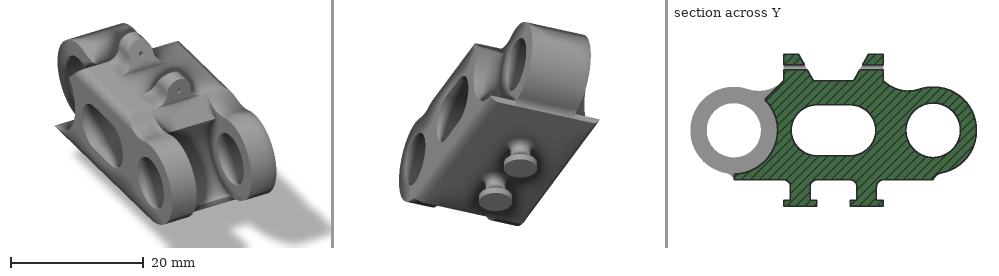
import cadquery as cq
import math

LENGTH = 43.15
WIDTH = 18.0
HEIGHT = 14.95
EYE_RADIUS = 6.55
BORE_DIAMETER = 8.15
TONGUE_WIDTH = 9.5
TOP_LENGTH = 15.0
SHOULDER_RADIUS = 5.3
LIP_RADIUS = 1.5
EDGE_RADIUS = 1.45
WINDOW_LENGTH = 12.7
WINDOW_HEIGHT = 7.6

LUG_HEIGHT = 4.0
LUG_HOLE_DIAMETER = 0.75
LUG_TOP_LENGTH = 2.25
LUG_BASE_LENGTH = 4.5

PIN_SPACING = 10.0
PIN_DIAMETER = 3.0
PIN_HEAD_DIAMETER = 5.0
PIN_HEAD_THICKNESS = 1.0
PIN_LENGTH = 4.0
PIN_FILLET = 1.0

PIVOT_X = LENGTH / 2 - EYE_RADIUS
HALF_HEIGHT = HEIGHT / 2
HALF_TOP = TOP_LENGTH / 2
LUG_RADIUS = LUG_HEIGHT / 2
PIVOTS = [(-PIVOT_X, 0), (PIVOT_X, 0)]


def extrude_along_y(sketch, width):
    """Extrude an XZ sketch symmetrically about Y = 0."""
    return sketch.extrude(width / 2, both=True)


def blend_arc(corner, radius, side):
    """Middle and end of the concave arc from a corner to tangency with the right-hand eye.

    side (+1 or -1) selects which of the two possible arc centres is used.
    """
    dx = corner[0] - PIVOT_X
    dz = corner[1]
    corner_distance = math.hypot(dx, dz)
    center_distance = EYE_RADIUS + radius
    cosine = (corner_distance**2 + center_distance**2 - radius**2) / (2 * corner_distance * center_distance)
    angle = math.atan2(dz, dx) + side * math.acos(cosine)
    center = (PIVOT_X + center_distance * math.cos(angle), center_distance * math.sin(angle))
    end = (PIVOT_X + EYE_RADIUS * math.cos(angle), EYE_RADIUS * math.sin(angle))
    chord_x = (corner[0] + end[0]) / 2 - center[0]
    chord_z = (corner[1] + end[1]) / 2 - center[1]
    stretch = radius / math.hypot(chord_x, chord_z)
    middle = (center[0] + chord_x * stretch, center[1] + chord_z * stretch)
    return middle, end


def mirrored(point):
    return (-point[0], point[1])


def make_outline():
    """Full-width link: two eyes blended into the central block, long edges rounded."""
    top_corner = (HALF_TOP, HALF_HEIGHT)
    lip_corner = (PIVOT_X, -HALF_HEIGHT)
    top_middle, top_end = blend_arc(top_corner, SHOULDER_RADIUS, -1)
    lip_middle, lip_end = blend_arc(lip_corner, LIP_RADIUS, 1)
    eye_tip = (LENGTH / 2, 0)
    sketch = (
        cq.Workplane("XZ")
        .moveTo(*mirrored(top_corner))
        .lineTo(*top_corner)
        .threePointArc(top_middle, top_end)
        .threePointArc(eye_tip, lip_end)
        .threePointArc(lip_middle, lip_corner)
        .lineTo(*mirrored(lip_corner))
        .threePointArc(mirrored(lip_middle), mirrored(lip_end))
        .threePointArc(mirrored(eye_tip), mirrored(top_end))
        .threePointArc(mirrored(top_middle), mirrored(top_corner))
        .close()
    )
    rounded_block = cq.Workplane("XY").box(LENGTH, WIDTH, HEIGHT).edges("|X").fillet(EDGE_RADIUS)
    end_length = LENGTH / 2 - top_end[0]
    square_end = cq.Workplane("XY").box(end_length, WIDTH, HALF_HEIGHT, centered=(False, True, False))
    right_end = square_end.translate((top_end[0], 0, 0))
    envelope = rounded_block.union(right_end).union(right_end.mirror("YZ"))
    return extrude_along_y(sketch, WIDTH).intersect(envelope)


def make_clearance(direction):
    """Room for the neighbouring link: an eye-sized hollow opening outwards, with a 45 degree flare."""
    line_sum = HALF_TOP + HALF_HEIGHT - PIVOT_X
    reach = math.sqrt(2 * EYE_RADIUS**2 - line_sum**2)
    flare_end = (PIVOT_X + (line_sum - reach) / 2, (line_sum + reach) / 2)
    inner_tip = (PIVOT_X - EYE_RADIUS, 0)
    points = [
        (HALF_TOP, HALF_HEIGHT),
        flare_end,
        inner_tip,
        (PIVOT_X, -EYE_RADIUS),
        (PIVOT_X, -HALF_HEIGHT),
        (LENGTH / 2, -HALF_HEIGHT),
        (LENGTH / 2, HALF_HEIGHT),
    ]
    corner, flare, tip, hollow_bottom, lip, low, high = [(direction * x, z) for x, z in points]
    sketch = (
        cq.Workplane("XZ")
        .moveTo(*corner)
        .lineTo(*flare)
        .threePointArc(tip, hollow_bottom)
        .lineTo(*lip)
        .lineTo(*low)
        .lineTo(*high)
        .close()
    )
    return extrude_along_y(sketch, WIDTH)


def make_link():
    tongue_zone = cq.Workplane("XY").box(LENGTH, TONGUE_WIDTH, HEIGHT)
    link = make_outline()
    link = link.cut(make_clearance(1).intersect(tongue_zone))
    link = link.cut(make_clearance(-1).cut(tongue_zone))
    bores = cq.Workplane("XZ").pushPoints(PIVOTS).circle(BORE_DIAMETER / 2)
    window = cq.Workplane("XZ").slot2D(WINDOW_LENGTH, WINDOW_HEIGHT)
    return link.cut(extrude_along_y(bores, WIDTH)).cut(extrude_along_y(window, WIDTH))


def make_lug():
    """Lug at the -X end of the top face: flared round-topped plate with a sloping inner side."""
    hole_z = HALF_HEIGHT + LUG_RADIUS
    flare = LUG_RADIUS * (1 - math.sqrt(0.5))
    flare_middle_y = LUG_RADIUS + flare
    flare_middle_z = HALF_HEIGHT + flare
    cross_section = (
        cq.Workplane("YZ")
        .workplane(offset=-HALF_TOP)
        .moveTo(-2 * LUG_RADIUS, HALF_HEIGHT)
        .threePointArc((-flare_middle_y, flare_middle_z), (-LUG_RADIUS, hole_z))
        .threePointArc((0, HALF_HEIGHT + LUG_HEIGHT), (LUG_RADIUS, hole_z))
        .threePointArc((flare_middle_y, flare_middle_z), (2 * LUG_RADIUS, HALF_HEIGHT))
        .close()
        .extrude(LUG_BASE_LENGTH)
    )
    side_profile = cq.Workplane("XZ").polyline([
        (-HALF_TOP, HALF_HEIGHT),
        (-HALF_TOP + LUG_BASE_LENGTH, HALF_HEIGHT),
        (-HALF_TOP + LUG_TOP_LENGTH, HALF_HEIGHT + LUG_HEIGHT),
        (-HALF_TOP, HALF_HEIGHT + LUG_HEIGHT),
    ]).close()
    hole = (
        cq.Workplane("YZ")
        .workplane(offset=-HALF_TOP)
        .center(0, hole_z)
        .circle(LUG_HOLE_DIAMETER / 2)
        .extrude(LUG_BASE_LENGTH)
    )
    return cross_section.intersect(extrude_along_y(side_profile, WIDTH)).cut(hole)


def make_pin(x):
    """Headed pin hanging from the bottom face, with a concave fillet at its root."""
    shaft = PIN_DIAMETER / 2
    head = PIN_HEAD_DIAMETER / 2
    root = shaft + PIN_FILLET
    fillet_middle = PIN_FILLET * (1 - math.sqrt(0.5))
    head_top = PIN_HEAD_THICKNESS - PIN_LENGTH
    return (
        cq.Workplane("XZ")
        .moveTo(0, 0)
        .lineTo(root, 0)
        .threePointArc((shaft + fillet_middle, -fillet_middle), (shaft, -PIN_FILLET))
        .lineTo(shaft, head_top)
        .lineTo(head, head_top)
        .lineTo(head, -PIN_LENGTH)
        .lineTo(0, -PIN_LENGTH)
        .close()
        .revolve(360, (0, 0, 0), (0, 1, 0))
        .translate((x, 0, -HALF_HEIGHT))
    )


lug = make_lug()
result = make_link().union(lug).union(lug.mirror("YZ"))
for pin_x in (-PIN_SPACING / 2, PIN_SPACING / 2):
    result = result.union(make_pin(pin_x))